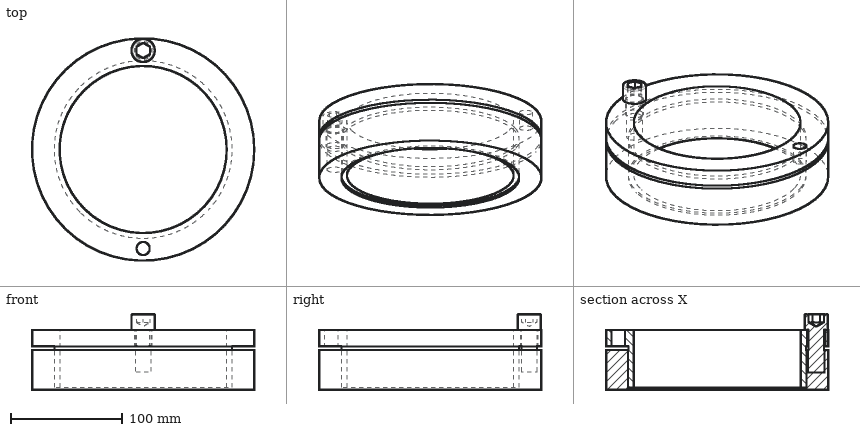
import cadquery as cq
import math

OUTER_DIAMETER = 200
BORE_DIAMETER = 150
BASE_HEIGHT = 36
SLEEVE_DIAMETER = 160
SLEEVE_BOTTOM = 2
GAP_HEIGHT = 3.0
COVER_THICKNESS = 15.0

COVER_BOTTOM = BASE_HEIGHT + GAP_HEIGHT
COVER_TOP = COVER_BOTTOM + COVER_THICKNESS

PITCH_RADIUS = 89.0
SHANK_DIAMETER = 14
CLEARANCE_DIAMETER = 16
HEAD_DIAMETER = 21.0
HEAD_HEIGHT = SHANK_DIAMETER
HEAD_FILLET = 1.2
SHANK_DEPTH_IN_BASE = 20
SHANK_BOTTOM = BASE_HEIGHT - SHANK_DEPTH_IN_BASE
JACK_HOLE_DIAMETER = 11.8

SOCKET_ACROSS_FLATS = 12
SOCKET_DEPTH = 7.0
SOCKET_CORNER_RADIUS = SOCKET_ACROSS_FLATS / math.sqrt(3)
SOCKET_CONE_DEPTH = SOCKET_CORNER_RADIUS * math.tan(math.radians(30))


def cylinder(diameter, bottom, top, y=0):
    """Upright cylinder, its axis in the YZ plane, between two heights."""
    return cq.Workplane("XY", origin=(0, y, bottom)).circle(diameter / 2).extrude(top - bottom)


def make_base():
    """Lower ring, bored through for the sleeve of the cover, with a blind screw hole."""
    body = cylinder(OUTER_DIAMETER, 0, BASE_HEIGHT)
    body = body.cut(cylinder(SLEEVE_DIAMETER, 0, BASE_HEIGHT))
    screw_hole = cylinder(SHANK_DIAMETER, SHANK_BOTTOM, BASE_HEIGHT, PITCH_RADIUS)
    return body.cut(screw_hole)


def make_cover():
    """Upper ring and its sleeve, with a clearance hole for the screw and a jacking hole opposite."""
    body = cylinder(OUTER_DIAMETER, COVER_BOTTOM, COVER_TOP)
    body = body.union(cylinder(SLEEVE_DIAMETER, SLEEVE_BOTTOM, COVER_TOP))
    body = body.cut(cylinder(BORE_DIAMETER, SLEEVE_BOTTOM, COVER_TOP))
    body = body.cut(cylinder(CLEARANCE_DIAMETER, COVER_BOTTOM, COVER_TOP, PITCH_RADIUS))
    return body.cut(cylinder(JACK_HOLE_DIAMETER, COVER_BOTTOM, COVER_TOP, -PITCH_RADIUS))


def make_socket(top):
    """Hexagonal socket, corners toward +Y and -Y, ending in a cone."""
    hexagon = (
        cq.Workplane("XY", origin=(0, PITCH_RADIUS, top))
        .transformed(rotate=(0, 0, 90))
        .polygon(6, 2 * SOCKET_CORNER_RADIUS)
        .extrude(-SOCKET_DEPTH - SOCKET_CONE_DEPTH)
    )
    pointed_bar = (
        cq.Workplane("XZ")
        .moveTo(0, -SOCKET_DEPTH - SOCKET_CONE_DEPTH)
        .lineTo(SOCKET_CORNER_RADIUS, -SOCKET_DEPTH)
        .lineTo(SOCKET_CORNER_RADIUS, 0)
        .lineTo(0, 0)
        .close()
        .revolve(360, (0, 0), (0, 1))
        .translate((0, PITCH_RADIUS, top))
    )
    return hexagon.intersect(pointed_bar)


def make_screw():
    """Cap screw whose head rests on the cover and whose shank enters the base."""
    head_top = COVER_TOP + HEAD_HEIGHT
    head = cylinder(HEAD_DIAMETER, COVER_TOP, head_top, PITCH_RADIUS)
    head = head.faces(">Z").edges().fillet(HEAD_FILLET)
    shank = cylinder(SHANK_DIAMETER, SHANK_BOTTOM, COVER_TOP, PITCH_RADIUS)
    return head.union(shank).cut(make_socket(head_top))


base = make_base()
cover = make_cover()
screw = make_screw()

result = cq.Compound.makeCompound([base.val(), cover.val(), screw.val()])